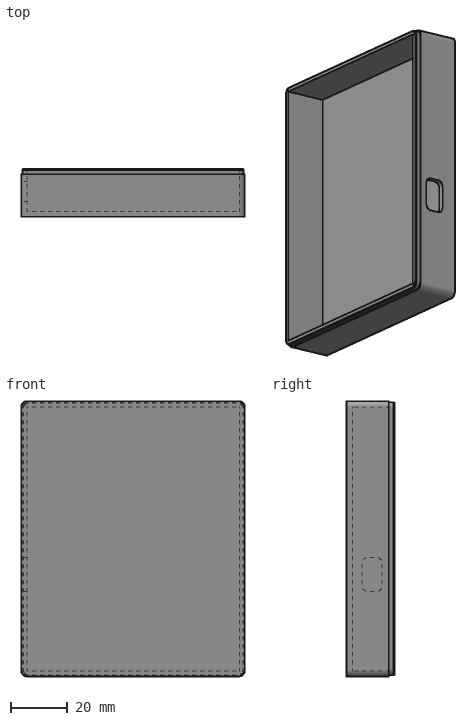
import cadquery as cq
import math

WIDTH = 78.9
HEIGHT = 97.19
DEPTH = 17.0
CORNER_RADIUS = 2.2
WALL = 2.0

LIP_LENGTH = 2.0
LIP_INSET = 0.4
LIP_CHAMFER_LENGTH = 0.5
LIP_CHAMFER_INSET = 0.25
BODY_DEPTH = DEPTH - LIP_LENGTH

PORT_WIDTH = 7.0
PORT_HEIGHT = 12.0
PORT_RADIUS = 2.0
PORT_CENTER_Y = 9.0
PORT_CENTER_Z = 36.1


def rounded_block(inset, y_start, y_end):
    """Block set in from the case outline, with its four Y-direction edges rounded."""
    block = cq.Workplane("XY").box(
        WIDTH - 2 * inset, y_end - y_start, HEIGHT - 2 * inset, centered=(True, False, True)
    )
    return block.edges("|Y").fillet(CORNER_RADIUS).translate((0, y_start, HEIGHT / 2))


def make_lip():
    """Inset lip that tapers inward at its rear end."""
    straight_end = DEPTH - LIP_CHAMFER_LENGTH
    straight = rounded_block(LIP_INSET, BODY_DEPTH, straight_end)
    taper_angle = math.degrees(math.atan(LIP_CHAMFER_INSET / LIP_CHAMFER_LENGTH))
    rear_face = straight.faces(">Y")
    return rear_face.wires().toPending().workplane().extrude(LIP_CHAMFER_LENGTH, taper=taper_angle)


def make_cavity():
    """Hollow inside of the case, leaving the front and side walls and the back open."""
    cavity = cq.Workplane("XY").box(
        WIDTH - 2 * WALL, DEPTH - WALL, HEIGHT - 2 * WALL, centered=(True, False, True)
    )
    return cavity.translate((0, WALL, HEIGHT / 2))


def make_port():
    """Rounded rectangular cutter running through the -X wall only."""
    cutter = cq.Workplane("XY").box(2 * WALL, PORT_WIDTH, PORT_HEIGHT)
    return cutter.edges("|X").fillet(PORT_RADIUS).translate((-WIDTH / 2, PORT_CENTER_Y, PORT_CENTER_Z))


body = rounded_block(0, 0, BODY_DEPTH)
result = body.union(make_lip()).cut(make_cavity()).cut(make_port())